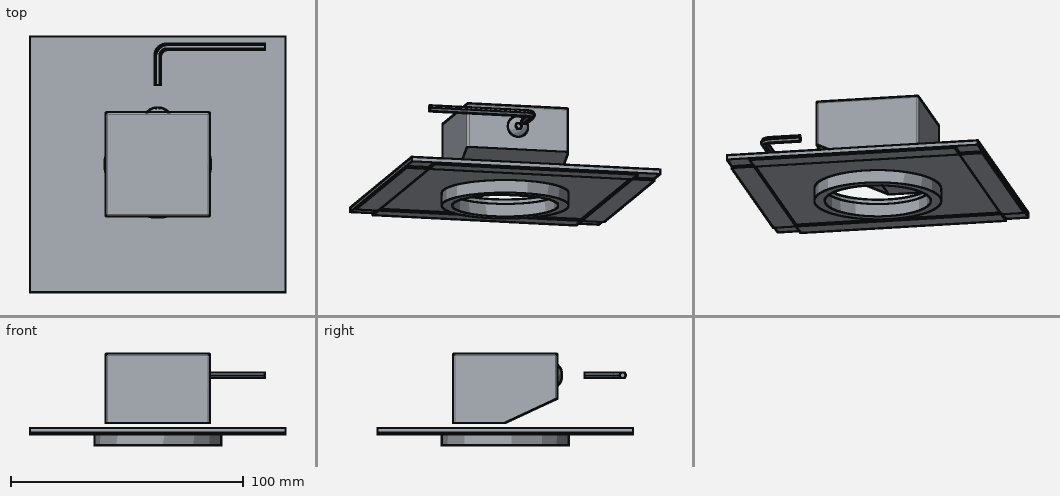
import cadquery as cq
import math

PLATE_SIZE = 110.0
PLATE_THICKNESS = 2.0
OPENING_DIAMETER = 45.6

STRIP_THICKNESS = 0.85
STRIP_WIDTH = 10.0
STRIP_LENGTH = PLATE_SIZE - 2 * STRIP_WIDTH

RING_OUTER_DIAMETER = 54.6
TOTAL_HEIGHT = 39.5

HOUSING_SIZE = 45.0
HOUSING_HEIGHT = 30.0
HOUSING_BOTTOM = 2.0
HOUSING_TOP = HOUSING_BOTTOM + HOUSING_HEIGHT
RING_BOTTOM = HOUSING_TOP - TOTAL_HEIGHT
HOUSING_ROUNDING = 1.0
BACK_FACE_Y = HOUSING_SIZE / 2
BEVEL_START_Y = -0.3
BEVEL_ANGLE = 25.0
BEVEL_HEIGHT = (BACK_FACE_Y - BEVEL_START_Y) * math.tan(math.radians(BEVEL_ANGLE))

SCREW_DROP = 9.4
SCREW_Z = HOUSING_TOP - SCREW_DROP
SCREW_HEAD_DIAMETER = 9.0
SCREW_HEAD_HEIGHT = 2.0
SOCKET_DEPTH = 1.2

KEY_ACROSS_FLATS = 2.5
KEY_SHORT_END_Y = 34.0
KEY_LONG_ARM_Y = 50.5
KEY_LONG_END_X = 46.0
KEY_BEND_RADIUS = 4.0


def hex_corner_diameter(across_flats):
    return across_flats / math.cos(math.pi / 6)


def make_plate():
    return (
        cq.Workplane("XY")
        .rect(PLATE_SIZE, PLATE_SIZE)
        .circle(OPENING_DIAMETER / 2)
        .extrude(-PLATE_THICKNESS)
    )


def make_strip(angle):
    """One strip along the -Y plate edge, turned about Z by the given angle."""
    edge_offset = (PLATE_SIZE - STRIP_WIDTH) / 2
    return (
        cq.Workplane("XY", origin=(0, 0, -PLATE_THICKNESS))
        .center(0, -edge_offset)
        .rect(STRIP_LENGTH, STRIP_WIDTH)
        .extrude(-STRIP_THICKNESS)
        .rotate((0, 0, 0), (0, 0, 1), angle)
    )


def make_ring():
    ring_height = -PLATE_THICKNESS - RING_BOTTOM
    return (
        cq.Workplane("XY", origin=(0, 0, RING_BOTTOM))
        .circle(RING_OUTER_DIAMETER / 2)
        .circle(OPENING_DIAMETER / 2)
        .extrude(ring_height)
    )


def make_housing():
    """Rounded block whose underside slants up from near the middle to the back face."""
    block = (
        cq.Workplane("XY", origin=(0, 0, HOUSING_BOTTOM))
        .rect(HOUSING_SIZE, HOUSING_SIZE)
        .extrude(HOUSING_HEIGHT)
        .edges("|Z or >Z")
        .fillet(HOUSING_ROUNDING)
    )
    bevel = (
        cq.Workplane("YZ")
        .moveTo(BEVEL_START_Y, HOUSING_BOTTOM)
        .lineTo(BACK_FACE_Y, HOUSING_BOTTOM)
        .lineTo(BACK_FACE_Y, HOUSING_BOTTOM + BEVEL_HEIGHT)
        .close()
        .extrude(HOUSING_SIZE / 2, both=True)
    )
    return block.cut(bevel)


def make_screw():
    """Domed head standing on the back face, with a hex socket."""
    dome = (
        cq.Workplane("XY")
        .lineTo(SCREW_HEAD_DIAMETER / 2, 0)
        .threePointArc(dome_midpoint(), (0, SCREW_HEAD_HEIGHT))
        .close()
        .revolve(360, (0, 0, 0), (0, 1, 0))
    )
    socket = (
        cq.Workplane("XZ", origin=(0, SCREW_HEAD_HEIGHT, 0))
        .polygon(6, hex_corner_diameter(KEY_ACROSS_FLATS))
        .extrude(SOCKET_DEPTH)
    )
    return dome.cut(socket).translate((0, BACK_FACE_Y, SCREW_Z))


def dome_midpoint():
    """Point halfway along the dome's profile, from its rim to its crown."""
    rim = SCREW_HEAD_DIAMETER / 2
    radius = (rim**2 + SCREW_HEAD_HEIGHT**2) / (2 * SCREW_HEAD_HEIGHT)
    half_angle = math.asin(rim / radius) / 2
    return (
        radius * math.sin(half_angle),
        SCREW_HEAD_HEIGHT - radius * (1 - math.cos(half_angle)),
    )


def make_hex_key():
    """Hexagonal bar swept along an L with a rounded bend, flats up and down."""
    bend_offset = KEY_BEND_RADIUS * (1 - math.cos(math.pi / 4))
    path = (
        cq.Workplane("XY", origin=(0, 0, SCREW_Z))
        .moveTo(0, KEY_SHORT_END_Y)
        .lineTo(0, KEY_LONG_ARM_Y - KEY_BEND_RADIUS)
        .threePointArc(
            (bend_offset, KEY_LONG_ARM_Y - bend_offset),
            (KEY_BEND_RADIUS, KEY_LONG_ARM_Y),
        )
        .lineTo(KEY_LONG_END_X, KEY_LONG_ARM_Y)
    )
    return (
        cq.Workplane("XZ", origin=(0, KEY_SHORT_END_Y, SCREW_Z))
        .polygon(6, hex_corner_diameter(KEY_ACROSS_FLATS))
        .sweep(path)
    )


plate = make_plate()
strips = [make_strip(angle) for angle in (0, 90, 180, 270)]
ring = make_ring()
housing = make_housing()
screw = make_screw()
hex_key = make_hex_key()

result = cq.Compound.makeCompound([
    plate.val(),
    *[strip.val() for strip in strips],
    ring.val(),
    housing.val(),
    screw.val(),
    hex_key.val(),
])